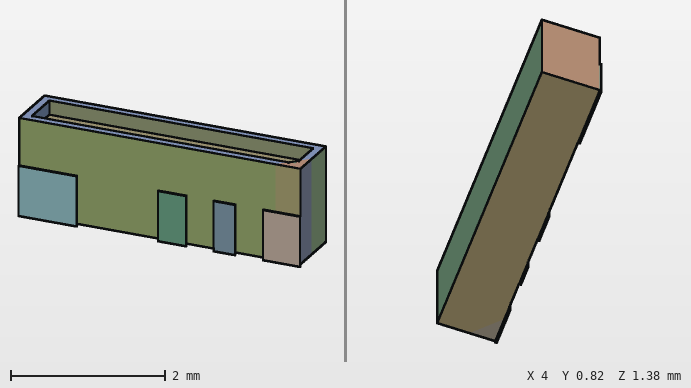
import cadquery as cq

body_length = 4.0
body_depth = 0.8
body_height = 1.35

rim_width = 0.125
recess_depth = 0.2

corner_leg = 0.35

pad_thickness = 0.02
pad_overhang = 0.03
pad_top = 0.68
right_pad_width = 0.525
pads = [(0.0, 0.825), (1.98, 0.4), (2.775, 0.3), (body_length - right_pad_width, right_pad_width)]


def make_body():
    """Block with the rectangular recess cut into its top."""
    block = cq.Workplane("XY").box(body_length, body_depth, body_height, centered=False)
    recess = (
        cq.Workplane("XY")
        .box(body_length - 2 * rim_width, body_depth - 2 * rim_width, recess_depth, centered=False)
        .translate((rim_width, rim_width, body_height - recess_depth))
    )
    return block.cut(recess)


def make_corner_marker():
    """Full-height prism with equal legs along the front and right faces."""
    return (
        cq.Workplane("XY")
        .moveTo(body_length, 0)
        .lineTo(body_length, corner_leg)
        .lineTo(body_length - corner_leg, 0)
        .close()
        .extrude(body_height)
    )


def make_pad(left, width):
    """Thin contact plate lying against the front face."""
    return (
        cq.Workplane("XY")
        .box(width, pad_thickness, pad_top + pad_overhang, centered=False)
        .translate((left, -pad_thickness, -pad_overhang))
    )


result = make_body().union(make_corner_marker(), clean=False)
for pad_left, pad_width in pads:
    result = result.union(make_pad(pad_left, pad_width), clean=False)